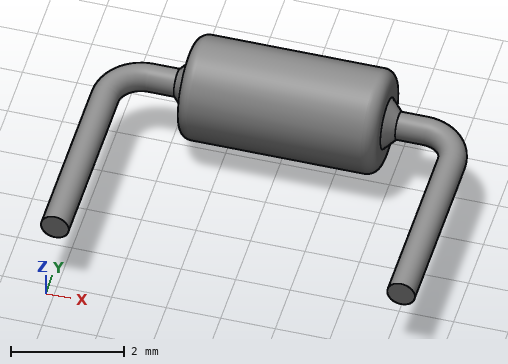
import cadquery as cq


body_diameter = 1.91
body_length = 3.64
body_fillet = 0.235

collar_diameter = 0.94
collar_length = 0.21

lead_diameter = 0.51
lead_pitch = 6.35
bend_radius = 0.66
total_depth = 5.0

body_radius = body_diameter / 2
body_end = body_length / 2
lead_radius = lead_diameter / 2
lead_x = lead_pitch / 2
lead_tip_y = body_radius - total_depth


def make_body():
    """Cylinder along X with both rims rounded."""
    cylinder = cq.Workplane("YZ", origin=(-body_end, 0, 0)).circle(body_radius).extrude(body_length)
    return cylinder.edges("%CIRCLE").fillet(body_fillet)


def make_collar():
    """Cone on the +X end face, tapering down to the lead."""
    profile = [
        (body_end, 0),
        (body_end, collar_diameter / 2),
        (body_end + collar_length, lead_radius),
        (body_end + collar_length, 0),
    ]
    return cq.Workplane("XY").polyline(profile).close().revolve(360, (0, 0, 0), (1, 0, 0))


def make_lead():
    """Round wire leaving the +X end face and bending toward -Y."""
    path = (
        cq.Workplane("XY")
        .moveTo(body_end, 0)
        .lineTo(lead_x - bend_radius, 0)
        .tangentArcPoint((lead_x, -bend_radius), relative=False)
        .lineTo(lead_x, lead_tip_y)
    )
    section = cq.Workplane("YZ", origin=(body_end, 0, 0)).circle(lead_radius)
    return section.sweep(path)


def make_termination():
    """Collar and lead of the +X end."""
    return make_collar().union(make_lead())


termination = make_termination()
result = make_body().union(termination).union(termination.mirror("YZ"))